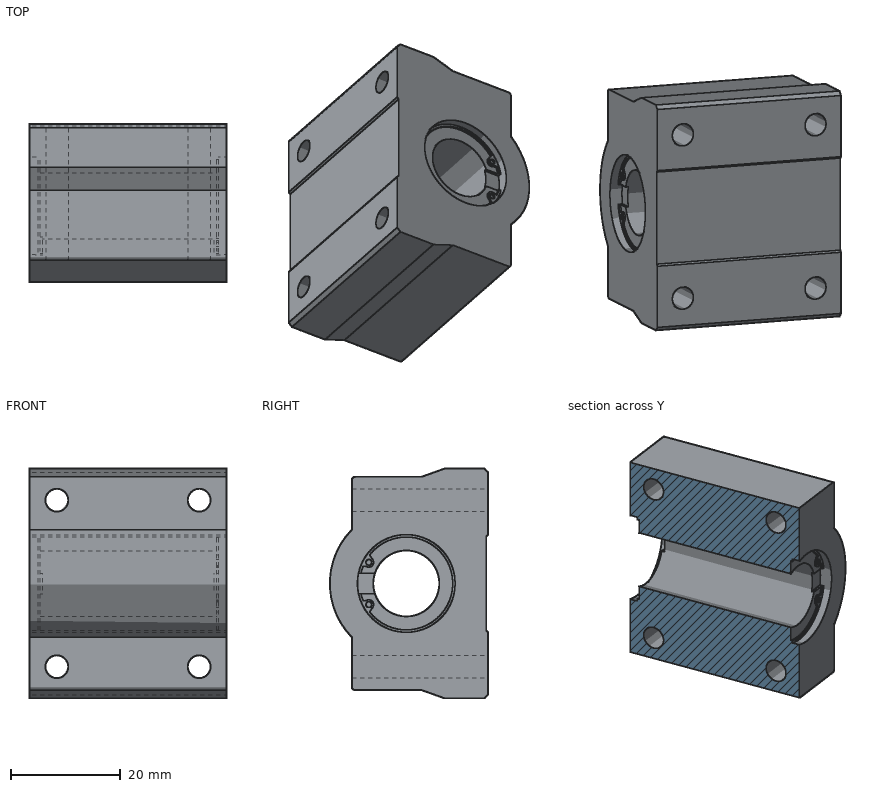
import cadquery as cq
import math

length = 36.0
height = 42.0
bulge_radius = 14.0
back_y = 14.95
front_y = -9.95
front_half_height = 19.5
taper_back_y = 7.0
taper_front_y = 2.77
back_chamfer = 0.7
front_fillet = 0.6
relief_depth = 0.35
relief_half_height = 8.55

hole_diameter = 4.1
hole_spacing_x = 26.0
hole_spacing_z = 30.4

bore_diameter = 12.0
seat_diameter = 17.85
seat_depth = 1.5
ring_thickness = 0.35
ring_inner_radius = 8.5
gap_width = 3.75
notch_depth = 0.5
lug_y = -6.85
lug_z = 3.85
lug_radius = 0.9
lug_flank_offset = 0.7
lug_hole_diameter = 1.05
lug_neck_z = 5.2

half_length = length / 2
half_height = height / 2
seat_radius = seat_diameter / 2
bearing_face_depth = seat_depth + ring_thickness


def disc(radius, start_x, depth, y=0, z=0):
    """Cylinder along +X starting at start_x."""
    return cq.Workplane("YZ", origin=(start_x, 0, 0)).center(y, z).circle(radius).extrude(depth)


def gap_cutter(start_x, depth):
    """Box spanning the gap between the ring ends, on the -Y side of the bore."""
    return (
        cq.Workplane("YZ", origin=(start_x, 0, 0))
        .center(-seat_radius / 2, 0)
        .rect(seat_radius, gap_width)
        .extrude(depth)
        .intersect(disc(seat_radius, start_x, depth))
    )


def make_housing():
    bulge_half_height = math.sqrt(bulge_radius**2 - front_y**2)
    relief_y = back_y - relief_depth
    relief_edge_z = relief_half_height + relief_depth
    block = (
        cq.Workplane("YZ", origin=(-half_length, 0, 0))
        .moveTo(front_y, -bulge_half_height)
        .threePointArc((-bulge_radius, 0), (front_y, bulge_half_height))
        .lineTo(front_y, front_half_height)
        .lineTo(taper_front_y, front_half_height)
        .lineTo(taper_back_y, half_height)
        .lineTo(back_y - back_chamfer, half_height)
        .lineTo(back_y, half_height - back_chamfer)
        .lineTo(back_y, relief_edge_z)
        .lineTo(relief_y, relief_half_height)
        .lineTo(relief_y, -relief_half_height)
        .lineTo(back_y, -relief_edge_z)
        .lineTo(back_y, back_chamfer - half_height)
        .lineTo(back_y - back_chamfer, -half_height)
        .lineTo(taper_back_y, -half_height)
        .lineTo(taper_front_y, -front_half_height)
        .lineTo(front_y, -front_half_height)
        .close()
        .extrude(length)
    )
    for z in (-front_half_height, front_half_height):
        corner = cq.selectors.NearestToPointSelector((0, front_y, z))
        block = block.edges(corner).fillet(front_fillet)
    holes = (
        cq.Workplane("XZ", origin=(0, back_y, 0))
        .rarray(hole_spacing_x, hole_spacing_z, 2, 2)
        .circle(hole_diameter / 2)
        .extrude(back_y + bulge_radius)
    )
    return block.cut(holes)


def make_lug(start_x):
    """Upper ring lug: a rounded eye joined to the ring by a flared neck."""
    flank_z = lug_z - lug_flank_offset
    flank_y = -math.sqrt(seat_radius**2 - flank_z**2)
    neck_y = -math.sqrt(ring_inner_radius**2 - lug_neck_z**2)
    diagonal = lug_radius * math.sqrt(0.5)
    neck = (
        cq.Workplane("YZ", origin=(start_x, 0, 0))
        .moveTo(lug_y, flank_z)
        .lineTo(flank_y, flank_z)
        .lineTo(neck_y, lug_neck_z)
        .lineTo(lug_y + diagonal, lug_z + diagonal)
        .lineTo(lug_y, lug_z)
        .close()
        .extrude(ring_thickness)
    )
    eye = disc(lug_radius, start_x, ring_thickness, lug_y, lug_z)
    eye_hole = disc(lug_hole_diameter / 2, start_x, ring_thickness, lug_y, lug_z)
    return neck.union(eye).cut(eye_hole)


def make_end_recess():
    """Material to remove at the -X end, leaving the retaining ring standing."""
    ring_face_x = -half_length + seat_depth
    bearing_face_x = -half_length + bearing_face_depth
    ring = disc(seat_radius, ring_face_x, ring_thickness)
    ring = ring.cut(disc(ring_inner_radius, ring_face_x, ring_thickness))
    ring = ring.cut(gap_cutter(ring_face_x, ring_thickness))
    lug = make_lug(ring_face_x)
    ring = ring.union(lug).union(lug.mirror("XY"))
    recess = disc(seat_radius, -half_length, bearing_face_depth)
    return recess.cut(ring).union(gap_cutter(bearing_face_x, notch_depth))


end_recess = make_end_recess()
result = (
    make_housing()
    .cut(disc(bore_diameter / 2, -half_length, length))
    .cut(end_recess)
    .cut(end_recess.mirror("YZ"))
)